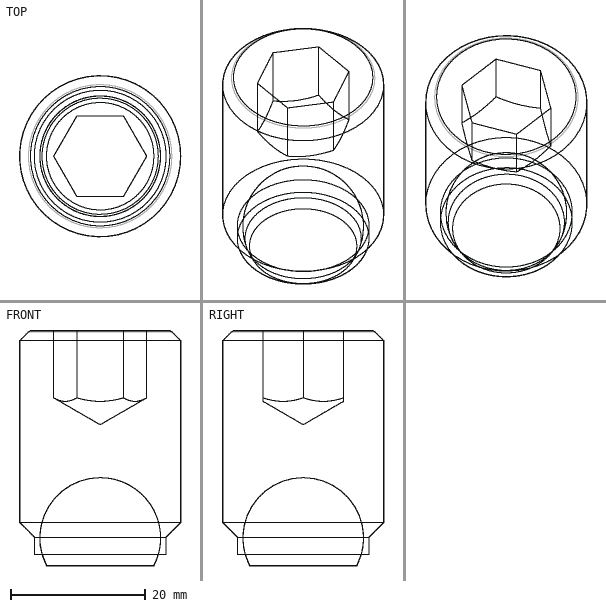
import cadquery as cq
import math


screw_radius = 24.0 / 2
total_height = 35.0

ball_radius = 18.0 / 2
ball_flat_radius = 16.0 / 2
ball_center_z = math.sqrt(ball_radius**2 - ball_flat_radius**2)

screw_bottom_z = 1.65
collar_radius = 9.82
collar_height = 2.6
shoulder_height = screw_radius - collar_radius
collar_top_z = screw_bottom_z + collar_height
shoulder_top_z = collar_top_z + shoulder_height

chamfer_top_radius = 10.67
chamfer_height = screw_radius - chamfer_top_radius
top_face_radius = 10.38
edge_break_angle = 30.0
edge_break_height = (chamfer_top_radius - top_face_radius) * math.tan(math.radians(edge_break_angle))
chamfer_top_z = total_height - edge_break_height
chamfer_bottom_z = chamfer_top_z - chamfer_height

hex_sides = 6
hex_across_flats = 12.0
hex_across_corners = hex_across_flats / math.cos(math.pi / hex_sides)
hex_depth = 10.0
drill_radius = hex_across_corners / 2
drill_point_angle = 120.0
drill_point_depth = drill_radius / math.tan(math.radians(drill_point_angle / 2))


def make_ball():
    """Sphere cut flat at Z = 0."""
    sphere = cq.Workplane("XY").sphere(ball_radius).translate((0, 0, ball_center_z))
    above_flat = cq.Workplane("XY").circle(ball_radius).extrude(total_height)
    return sphere.intersect(above_flat)


def make_screw_blank():
    """Revolved outer shape of the screw."""
    return (
        cq.Workplane("XZ")
        .moveTo(0, screw_bottom_z)
        .lineTo(collar_radius, screw_bottom_z)
        .lineTo(collar_radius, collar_top_z)
        .lineTo(screw_radius, shoulder_top_z)
        .lineTo(screw_radius, chamfer_bottom_z)
        .lineTo(chamfer_top_radius, chamfer_top_z)
        .lineTo(top_face_radius, total_height)
        .lineTo(0, total_height)
        .close()
        .revolve(360, (0, 0), (0, 1))
    )


def make_hex_socket():
    """Hexagonal prism ending in a cone that reaches its corners."""
    socket_bottom_z = total_height - hex_depth
    prism = (
        cq.Workplane("XY", origin=(0, 0, socket_bottom_z))
        .polygon(hex_sides, hex_across_corners)
        .extrude(hex_depth)
    )
    tip = (
        cq.Workplane("XY", origin=(0, 0, socket_bottom_z - drill_point_depth))
        .polygon(hex_sides, hex_across_corners)
        .extrude(drill_point_depth)
    )
    cone = (
        cq.Workplane("XZ")
        .moveTo(0, socket_bottom_z)
        .lineTo(drill_radius, socket_bottom_z)
        .lineTo(0, socket_bottom_z - drill_point_depth)
        .close()
        .revolve(360, (0, 0), (0, 1))
    )
    return prism.union(tip.intersect(cone))


ball = make_ball()
screw = make_screw_blank().cut(make_hex_socket()).cut(ball)

result = cq.Compound.makeCompound([screw.solids().val(), ball.solids().val()])